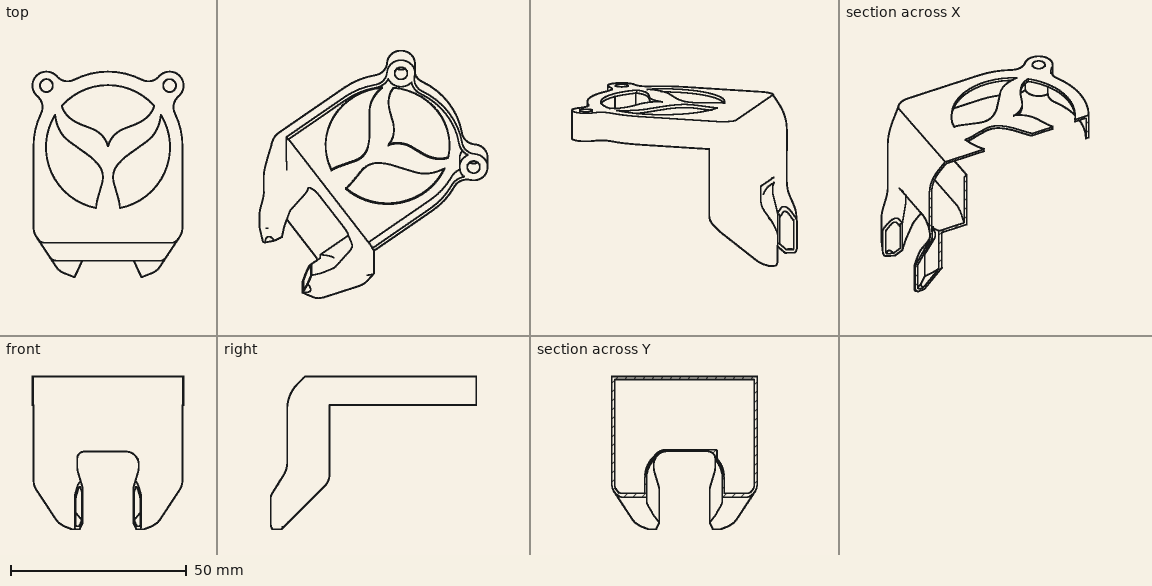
import cadquery as cq
import math


WALL = 0.9
NOTCH_WALL = 0.6
EDGE_RADIUS = 2.0

RING_RADIUS = 21.2
RING_CENTRE_Y = 0.3
RING_HEIGHT = 8.2
OPENING_RADIUS = 17.6
EAR_OFFSET = 17.5
EAR_RADIUS = 4.0
EAR_BLEND_RADIUS = 4.0
SCREW_DIAMETER = 3.6

SHOULDER_Y = -24.25
SIDE_ANGLE = math.radians(33.5)
ELBOW_X = 13.9
TIP_X = 9.5
TIP_Y = -37.0
OUTLET_ANGLE = math.radians(25)
CORNER_RADIUS = 5.0

BACK_Y = -20.2
FRONT_Y = -32.3
TOP_FRONT_Y = -27.2
NOSE_SLOPE_Z = -26.4
NOSE_ANGLE = math.radians(32)
BOTTOM_SLOPE_Z = -29.8
FLOOR_Z = -43.5
TOP_BEND_RADIUS = 10.0
NOSE_BEND_RADIUS = 6.6
BACK_BEND_RADIUS = 5.0

NOTCH_TOP_Z = -21.4
NOTCH_HALF_WIDTH = 8.7
NOTCH_CORNER_RADIUS = 3.6
NOTCH_BACK_CORNER_RADIUS = 1.9
FLARE_Z = -26.5
FLARE_RADIUS = 4.0
THROAT_HALF_WIDTH = 7.07
THROAT_Z = -32.0
FLARE_END_Z = -51.0

RELIEF_HALF_WIDTH = 10.7
RELIEF_THROAT_Y = -32.0
RELIEF_LIP_Y = -30.0
RELIEF_ELBOW_Y = -26.5
RELIEF_ELBOW_RADIUS = 2.0
RELIEF_CORNER_RADIUS = 7.3

TAIL_NOTCH = (0, 0.2)
FLUKE_TOP = [(1.06, 2.58), (3.39, 4.7), (6.98, 6.2), (9.73, 7.5), (12.06, 9.6), (13.2, 12.4)]
FLUKE_BOTTOM = [
    (15.05, 10.6), (14.39, 6.2), (12.7, 3.2), (9.5, 0.5), (6.35, -1.7), (3.17, -4.5), (2.0, -6.2),
    (1.48, -8.5), (1.9, -11), (2.75, -13.8), (3.4, -18),
]

REACH = 60.0
MARGIN = 0.01


def flat(vector):
    return (vector.x, vector.y)


def rounded_outline(plane, corners):
    """Closed outline through (u, v, radius) corners; a zero radius keeps the corner sharp."""
    stretches = []
    for index, (u, v, radius) in enumerate(corners):
        corner = cq.Vector(u, v)
        if radius == 0:
            stretches.append([corner])
            continue
        next_corner = corners[(index + 1) % len(corners)]
        before = (cq.Vector(*corners[index - 1][:2]) - corner).normalized()
        after = (cq.Vector(*next_corner[:2]) - corner).normalized()
        half_angle = before.getAngle(after) / 2
        setback = radius / math.tan(half_angle)
        bisector = (before + after).normalized()
        middle = corner + bisector * (radius / math.sin(half_angle) - radius)
        stretches.append([corner + before * setback, middle, corner + after * setback])
    outline = cq.Workplane(plane).moveTo(*flat(stretches[0][-1]))
    for stretch in stretches[1:] + stretches[:1]:
        outline = outline.lineTo(*flat(stretch[0]))
        if len(stretch) > 1:
            outline = outline.threePointArc(flat(stretch[1]), flat(stretch[2]))
    return outline.close()


def with_mirror(corners):
    """Corners on the +X side followed by their mirror images, in order round the outline."""
    return corners + [(-u, v, radius) for u, v, radius in reversed(corners)]


def inward(outline, inset):
    return outline.offset2D(-inset) if inset else outline


def block(y_min, y_max, z_min, z_max):
    """A block spanning the full width of the part."""
    size = (2 * REACH, y_max - y_min, z_max - z_min)
    return cq.Workplane("XY").box(*size, centered=(True, False, False)).translate((0, y_min, z_min))


def ear_cylinders(radius):
    centres = [(-EAR_OFFSET, EAR_OFFSET), (EAR_OFFSET, EAR_OFFSET)]
    return cq.Workplane("XY").pushPoints(centres).circle(radius).extrude(-REACH)


def ear_web(side):
    """The web joining one ear to the ring, with a hollow round blend on each flank."""
    ring_centre = cq.Vector(0, RING_CENTRE_Y)
    ear_centre = cq.Vector(side * EAR_OFFSET, EAR_OFFSET)
    axis = ear_centre - ring_centre
    ring_reach = RING_RADIUS + EAR_BLEND_RADIUS
    ear_reach = EAR_RADIUS + EAR_BLEND_RADIUS
    along = (axis.Length**2 + ring_reach**2 - ear_reach**2) / (2 * axis.Length)
    across = math.sqrt(ring_reach**2 - along**2)
    foot = ring_centre + axis.normalized() * along
    sideways = cq.Vector(-axis.y, axis.x).normalized() * across
    blend_centres = [flat(foot + sideways), flat(foot - sideways)]
    kite = [flat(ring_centre), blend_centres[0], flat(ear_centre), blend_centres[1]]
    blends = cq.Workplane("XY").pushPoints(blend_centres).circle(EAR_BLEND_RADIUS).extrude(-REACH)
    return cq.Workplane("XY").polyline(kite).close().extrude(-REACH).cut(blends)


def plan_prism(inset):
    """Everything inside the part's outline from above, drawn in by the inset."""
    elbow_y = SHOULDER_Y - (RING_RADIUS - ELBOW_X) / math.tan(SIDE_ANGLE)
    apex_y = TIP_Y - (elbow_y - TIP_Y) / (ELBOW_X - TIP_X) * TIP_X
    right = [
        (0, RING_CENTRE_Y, 0),
        (RING_RADIUS, RING_CENTRE_Y, 0),
        (RING_RADIUS, SHOULDER_Y, CORNER_RADIUS),
        (ELBOW_X, elbow_y, CORNER_RADIUS),
        (0, apex_y, 0),
    ]
    left = with_mirror(right[1:4])[3:]
    whole = rounded_outline("XY", right + left).extrude(-REACH)
    ring = cq.Workplane("XY").center(0, RING_CENTRE_Y).circle(RING_RADIUS).extrude(-REACH)
    whole = whole.union(ring).union(ear_cylinders(EAR_RADIUS)).union(ear_web(-1)).union(ear_web(1))
    outline = whole.faces(">Z").wires().toPending()
    return inward(outline, inset).extrude(-REACH, combine=False)


def front_corners():
    """Corners of the duct front from the side: top edge, bend, upright front and sloping nose."""
    nose_end_y = FRONT_Y - (NOSE_SLOPE_Z + REACH) * math.tan(NOSE_ANGLE)
    return [
        (TOP_FRONT_Y, 0, 0),
        (FRONT_Y, FRONT_Y - TOP_FRONT_Y, TOP_BEND_RADIUS),
        (FRONT_Y, NOSE_SLOPE_Z, NOSE_BEND_RADIUS),
        (nose_end_y, -REACH, 0),
    ]


def side_prism(inset, corners):
    return inward(rounded_outline("YZ", corners), inset).extrude(REACH, both=True)


def rounded_duct(inset):
    """The duct with its front and bottom edges rounded and its 45 degree bottom run on to the back."""
    bottom_rise = BOTTOM_SLOPE_Z - BACK_Y
    back_corners = [(-REACH - bottom_rise, -REACH, 0), (0, bottom_rise, 0), (0, 0, 0)]
    profile = side_prism(inset, front_corners() + back_corners)
    duct = plan_prism(inset).intersect(profile)

    def meets_side_wall(edge):
        centre = edge.Center()
        tangent = edge.tangentAt(0.5)
        on_end_face = centre.y > -inset - 0.1
        on_top = centre.z > -inset - 0.1
        upright = abs(tangent.z) > 0.99
        crosswise = abs(tangent.x) > 0.99
        return not (on_end_face or on_top or upright or crosswise)

    return duct.edges().filter(meets_side_wall).fillet(EDGE_RADIUS - inset)


def notch_prism(growth):
    """The gap between the legs from the front, widened on every side by the growth."""
    flare_slope = (NOTCH_HALF_WIDTH - THROAT_HALF_WIDTH) / (FLARE_Z - THROAT_Z)
    end_half_width = THROAT_HALF_WIDTH - flare_slope * (THROAT_Z - FLARE_END_Z)
    corners = with_mirror([
        (end_half_width, FLARE_END_Z, 0),
        (NOTCH_HALF_WIDTH, FLARE_Z, FLARE_RADIUS),
        (NOTCH_HALF_WIDTH, NOTCH_TOP_Z, 0),
    ])
    corners[2] = (NOTCH_HALF_WIDTH, NOTCH_TOP_Z, NOTCH_CORNER_RADIUS)
    return inward(rounded_outline("XZ", corners), -growth).extrude(REACH)


def notched_profile(inset, notch_growth):
    """The side profile of the whole part with the notch cut through it and its front rim rounded."""
    bottom_end_y = BACK_Y - (BOTTOM_SLOPE_Z + REACH)
    back_corners = [
        (bottom_end_y, -REACH, 0),
        (BACK_Y, BOTTOM_SLOPE_Z, BACK_BEND_RADIUS),
        (BACK_Y, -RING_HEIGHT, 0),
        (0, -RING_HEIGHT, 0),
        (0, 0, 0),
    ]
    notched = side_prism(inset, front_corners() + back_corners).cut(notch_prism(notch_growth))

    def on_front_rim(edge):
        centre = edge.Center()
        return (
            centre.y < FRONT_Y + inset + MARGIN
            and abs(centre.x) < NOTCH_HALF_WIDTH + notch_growth + MARGIN
            and FLARE_END_Z + MARGIN < centre.z < NOTCH_TOP_Z + notch_growth + MARGIN
            and centre.z - centre.y > (BOTTOM_SLOPE_Z - BACK_Y) / 2
            and abs(edge.tangentAt(0.5).y) < 0.9
        )

    return notched.edges().filter(on_front_rim).fillet(EDGE_RADIUS - inset)


def round_notch_corner(profile):
    """Rounds the sharp upper corner of the notch behind its mitred front rim."""
    middle_y = (FRONT_Y + BACK_Y) / 2
    corner = cq.selectors.NearestToPointSelector((-NOTCH_HALF_WIDTH, middle_y, NOTCH_TOP_Z))
    return profile.edges("|Y").edges(corner).fillet(NOTCH_BACK_CORNER_RADIUS)


def relief_prism(growth):
    """The wider gap behind the throat, widened on every side by the growth."""
    plan = with_mirror([
        (THROAT_HALF_WIDTH, RELIEF_THROAT_Y, 0),
        (NOTCH_HALF_WIDTH, RELIEF_LIP_Y, 0),
        (RELIEF_HALF_WIDTH, RELIEF_ELBOW_Y, RELIEF_ELBOW_RADIUS),
        (RELIEF_HALF_WIDTH, 0, 0),
    ])
    front = with_mirror([
        (RELIEF_HALF_WIDTH, -REACH, 0),
        (RELIEF_HALF_WIDTH, NOTCH_TOP_Z, RELIEF_CORNER_RADIUS),
    ])
    from_above = inward(rounded_outline("XY", plan), -growth).extrude(-REACH)
    return from_above.intersect(inward(rounded_outline("XZ", front), -growth).extrude(REACH))


def outlet_cutter():
    """Everything in front of the slanted outlet faces at the ends of the two legs."""
    corners = with_mirror([(TIP_X, -REACH, 0), (TIP_X, TIP_Y, 0)])
    corners.insert(2, (0, TIP_Y + TIP_X / math.tan(OUTLET_ANGLE), 0))
    below_flare = block(-REACH, 0, -REACH, FLARE_Z)
    return rounded_outline("XY", corners).extrude(-REACH).intersect(below_flare)


def outer_body():
    profile = round_notch_corner(notched_profile(0, 0))
    duct = rounded_duct(0).intersect(profile).cut(relief_prism(0))
    duct = duct.cut(outlet_cutter()).cut(block(-REACH, 0, -REACH, FLOOR_Z))
    ring = plan_prism(0).intersect(block(BACK_Y, REACH, -RING_HEIGHT, 0))
    return duct.union(ring)


def cavity():
    """The air passage: open under the ring and at the outlets, with solid posts under the ears."""
    duct = rounded_duct(WALL).intersect(notched_profile(WALL, NOTCH_WALL)).cut(relief_prism(NOTCH_WALL))
    duct = duct.cut(block(-REACH, 0, -REACH, FLOOR_Z + WALL))
    ring = plan_prism(WALL).intersect(block(BACK_Y, REACH, -RING_HEIGHT, -WALL))
    return duct.union(ring).cut(ear_cylinders(EAR_RADIUS))


def grille_openings():
    """The round opening less the whale tail: one opening above the flukes and one on each side."""
    half_tail = (
        cq.Workplane("XY")
        .moveTo(*TAIL_NOTCH)
        .spline(FLUKE_TOP, includeCurrent=True)
        .lineTo(*FLUKE_BOTTOM[0])
        .spline(FLUKE_BOTTOM[1:], includeCurrent=True)
        .lineTo(0, FLUKE_BOTTOM[-1][1])
        .close()
        .extrude(-WALL)
    )
    opening = cq.Workplane("XY").circle(OPENING_RADIUS).extrude(-WALL)
    return opening.cut(half_tail).cut(half_tail.mirror("YZ"))


screw_holes = ear_cylinders(SCREW_DIAMETER / 2)
result = outer_body().cut(cavity()).cut(screw_holes).cut(grille_openings())